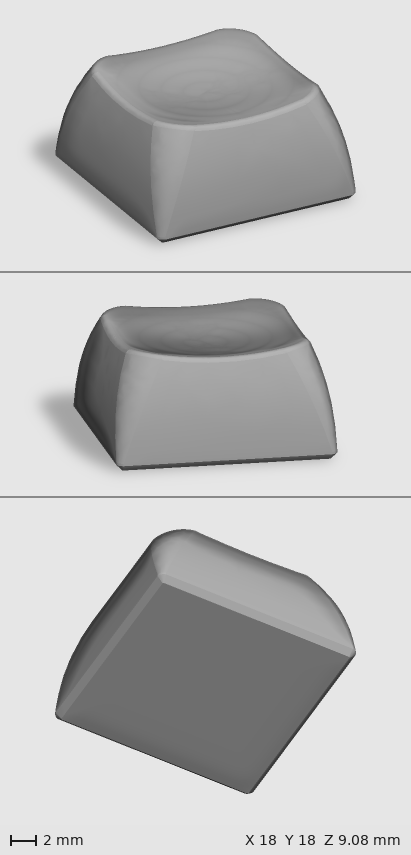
import cadquery as cq
import math

SIDE = 18.0
FOOT_CHAMFER = 0.5
WALL_START = 0.7
FOOT_CORNER = 0.5

REFERENCE_HEIGHT = 9.07
WALL_INSET = 1.62
WALL_CURVE = 2.4
SEAM_LINEAR = 2.68
SEAM_QUADRATIC = 0.9
CORNER_SAG = 0.28
CORNER_SWELL = 0.1
SECTION_COUNT = 6
TOP_RISE = 1.1

DISH_RADIUS = 29.16
DISH_LOW = 7.7
RIM_RADIUS = 0.5

INLAY_DEPTH = 0.5
INLAY_FLOOR = DISH_LOW - INLAY_DEPTH
INLAY_TOP = 10.8
BAR_WIDTH = 0.52
BAR_TOP = 5.67
BAR_BOTTOM = 0.35
BOWL_TOP = 4.91
BOWL_BOTTOM = 1.13


def cap_section(rise):
    """Horizontal outline of the cap: four straight walls joined by four shallow corner arcs."""
    height = WALL_START + rise * (REFERENCE_HEIGHT - WALL_START)
    wall = SIDE / 2 - WALL_INSET * rise**WALL_CURVE
    seam = SIDE / 2 - FOOT_CORNER - SEAM_LINEAR * rise - SEAM_QUADRATIC * rise**2
    half_chord = (wall - seam) / math.sqrt(2)
    sag = CORNER_SAG + CORNER_SWELL * 4 * rise * (1 - rise)
    corner = (wall + seam) / 2 + sag * half_chord / math.sqrt(2)
    return (
        cq.Workplane("XY", origin=(0, 0, height))
        .moveTo(-seam, -wall)
        .lineTo(seam, -wall)
        .threePointArc((corner, -corner), (wall, -seam))
        .lineTo(wall, seam)
        .threePointArc((corner, corner), (seam, wall))
        .lineTo(-seam, wall)
        .threePointArc((-corner, corner), (-wall, seam))
        .lineTo(-wall, -seam)
        .threePointArc((-corner, -corner), (-seam, -wall))
        .close()
    )


def make_cap_blank():
    """Keycap without the recesses for the legends."""
    foot = cap_section(0).extrude(-WALL_START).faces("<Z").chamfer(FOOT_CHAMFER)

    last = SECTION_COUNT - 1
    outlines = [cap_section(TOP_RISE * i / last).val() for i in range(SECTION_COUNT)]
    walls = cq.Workplane(cq.Solid.makeLoft(outlines))

    dish = cq.Workplane("XY", origin=(0, 0, DISH_LOW + DISH_RADIUS)).sphere(DISH_RADIUS)
    walls = walls.cut(dish)
    walls = walls.faces("%SPHERE").edges().fillet(RIM_RADIUS)
    return foot.union(walls)


def legend_plane():
    """Level of the flat floor under both inlays."""
    return cq.Workplane("XY", origin=(0, 0, INLAY_FLOOR))


def legend_bar(start, end):
    """One end of the vertical bar of the dollar sign."""
    return (
        legend_plane()
        .center(0, (start + end) / 2)
        .rect(BAR_WIDTH, abs(end - start))
        .extrude(INLAY_TOP - INLAY_FLOOR)
    )


def dollar_prism():
    """Upright prism of the dollar sign, higher than the cap."""
    letter_s = (
        legend_plane()
        .moveTo(1.17, 4.48)
        .threePointArc((0.72, 5.0), (0, 5.15))
        .threePointArc((-0.94, 4.88), (-1.26, 4.2))
        .threePointArc((-1.19, 3.75), (-0.95, 3.42))
        .lineTo(0.23, 2.85)
        .threePointArc((0.68, 2.55), (0.88, 2.07))
        .threePointArc((0.7, 1.58), (0.07, 1.39))
        .threePointArc((-0.52, 1.53), (-0.88, 1.98))
        .lineTo(-1.39, 1.84)
        .threePointArc((-0.83, 1.17), (0, 0.9))
        .threePointArc((1.0, 1.2), (1.4, 2.15))
        .threePointArc((1.22, 2.74), (0.75, 3.13))
        .lineTo(-0.45, 3.75)
        .threePointArc((-0.67, 3.92), (-0.74, 4.2))
        .threePointArc((-0.52, 4.57), (0, 4.7))
        .threePointArc((0.43, 4.6), (0.72, 4.34))
        .close()
        .extrude(INLAY_TOP - INLAY_FLOOR)
    )
    upper_bar = legend_bar(BOWL_TOP, BAR_TOP)
    lower_bar = legend_bar(BAR_BOTTOM, BOWL_BOTTOM)
    return letter_s.union(upper_bar).union(lower_bar)


def four_prism():
    """Upright prism of the figure four, higher than the cap."""
    stem_left = 0.49
    stem_right = 1.0
    arm_left = -1.62
    arm_right = 1.62
    arm_top = -3.56
    arm_bottom = -4.01
    top = -0.86
    bottom = -5.05
    slant_top = 0.54
    slant_bottom = -3.7
    counter_top = -1.62
    counter_left = -0.92
    outline = [
        (slant_top, top),
        (stem_right, top),
        (stem_right, arm_top),
        (arm_right, arm_top),
        (arm_right, arm_bottom),
        (stem_right, arm_bottom),
        (stem_right, bottom),
        (stem_left, bottom),
        (stem_left, arm_bottom),
        (arm_left, arm_bottom),
        (arm_left, slant_bottom),
    ]
    counter = [(stem_left, counter_top), (stem_left, arm_top), (counter_left, arm_top)]
    return (
        legend_plane()
        .polyline(outline).close()
        .polyline(counter).close()
        .extrude(INLAY_TOP - INLAY_FLOOR)
    )


cap_blank = make_cap_blank()

dollar_inlay = dollar_prism().intersect(cap_blank)
four_inlay = four_prism().intersect(cap_blank)
cap = cap_blank.cut(dollar_inlay).cut(four_inlay)

result = cq.Compound.makeCompound([cap.val(), dollar_inlay.val(), four_inlay.val()])